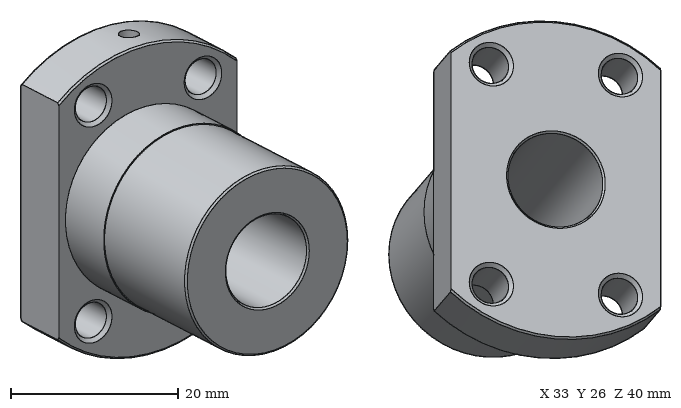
import cadquery as cq
import math

flange_diameter = 40.0
flange_width = 26.0
flange_thickness = 8.0
flange_chamfer = 0.25

total_length = 33.0
collar_diameter = 24.1
collar_end = 2 * flange_thickness
body_diameter = 23.8
body_chamfer = 0.25

bore_diameter = 11.75
bore_chamfer = 0.25

bolt_circle_diameter = 32.0
bolt_angle = 30.0
bolt_hole_diameter = 4.5
bolt_hole_chamfer = 0.5

oil_hole_diameter = 2.5
oil_hole_depth = 6.0
drill_point_angle = 118.0


def rod(diameter, start, end):
    """Solid cylinder on the X axis between two X positions."""
    return cq.Workplane("YZ").workplane(offset=start).circle(diameter / 2).extrude(end - start)


def chamfered_hole(diameter, chamfer, length):
    """Cutter along X, widened at both ends of the hole."""
    radius = diameter / 2
    wide = radius + chamfer
    return (
        cq.Workplane("XY")
        .moveTo(0, 0)
        .lineTo(0, wide)
        .lineTo(chamfer, radius)
        .lineTo(length - chamfer, radius)
        .lineTo(length, wide)
        .lineTo(length, 0)
        .close()
        .revolve(360, (0, 0, 0), (1, 0, 0))
    )


def make_flange():
    disc = rod(flange_diameter, 0, flange_thickness).edges("%CIRCLE").chamfer(flange_chamfer)
    flats = cq.Workplane("XY").box(2 * flange_thickness, flange_width, flange_diameter)
    return disc.intersect(flats)


def make_body():
    collar = rod(collar_diameter, 0, collar_end)
    barrel = rod(body_diameter, 0, total_length).faces(">X").chamfer(body_chamfer)
    return collar.union(barrel)


def oil_hole_cutter():
    radius = oil_hole_diameter / 2
    top = flange_diameter / 2
    shoulder = top - oil_hole_depth
    tip = shoulder - radius / math.tan(math.radians(drill_point_angle / 2))
    return (
        cq.Workplane("XZ")
        .moveTo(0, top)
        .lineTo(radius, top)
        .lineTo(radius, shoulder)
        .lineTo(0, tip)
        .close()
        .revolve(360, (0, 0, 0), (0, 1, 0))
        .translate((flange_thickness / 2, 0, 0))
    )


result = make_flange().union(make_body())
result = result.cut(chamfered_hole(bore_diameter, bore_chamfer, total_length))

bolt_y = bolt_circle_diameter / 2 * math.sin(math.radians(bolt_angle))
bolt_z = bolt_circle_diameter / 2 * math.cos(math.radians(bolt_angle))
bolt_hole = chamfered_hole(bolt_hole_diameter, bolt_hole_chamfer, flange_thickness)
for side_y in (-1, 1):
    for side_z in (-1, 1):
        result = result.cut(bolt_hole.translate((0, side_y * bolt_y, side_z * bolt_z)))

result = result.cut(oil_hole_cutter())